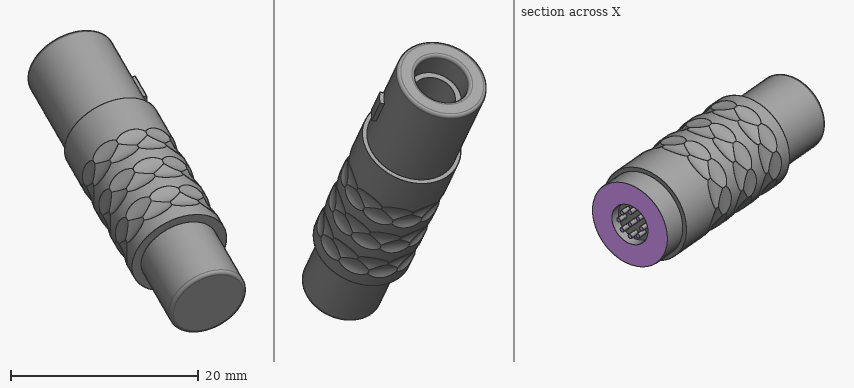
import cadquery as cq
import math

total_length = 38.0
nose_radius = 10.0 / 2
nose_length = 11.48
grip_radius = 11.0 / 2
grip_end = 30.02
tail_radius = 8.85 / 2
edge_fillet = 0.38

socket_radius = 6.0 / 2
socket_depth = 3.0
inner_bore_radius = 4.7 / 2
inner_bore_depth = 9.88

pin_radius = 0.25
pin_straight_length = 2.28
pin_circle_radius = 3.0 / 2
outer_pin_count = 8

key_start = 5.0
key_length = 3.15
key_width = 1.5

band_count = 3
band_pitch = 4.52
first_ring_x = 17.35
ring_spacing = 1.0
scallops_per_ring = 10
scallop_step = 360 / scallops_per_ring
scallop_depth = 0.35
scallop_cutter_radius = 2.25
scallop_cutter_length = grip_radius


def rod(start_x, end_x, radius):
    """Solid cylinder on the X axis."""
    return cq.Workplane("YZ").workplane(offset=start_x).circle(radius).extrude(end_x - start_x)


def turn(shape, angle):
    """Rotate a shape about the X axis."""
    return shape.rotate((0, 0, 0), (1, 0, 0), angle)


def make_barrel():
    """Nose, grip and tail, with the two end rims rounded."""
    nose = rod(0, nose_length, nose_radius).faces("<X").edges().fillet(edge_fillet)
    grip = rod(nose_length, grip_end, grip_radius)
    tail = rod(grip_end, total_length, tail_radius).faces(">X").edges().fillet(edge_fillet)
    return nose.union(grip).union(tail)


def make_key():
    """Key bar whose top follows the grip's cylinder."""
    bar = (
        cq.Workplane("XY")
        .box(key_length, grip_radius - socket_radius, key_width, centered=(False, False, True))
        .translate((key_start, socket_radius, 0))
    )
    return bar.intersect(rod(key_start, key_start + key_length, grip_radius))


def make_socket():
    """Cutter for the stepped bore, with a rounded mouth."""
    mouth_radius = socket_radius + edge_fillet
    arc_middle = edge_fillet * (1 - math.cos(math.radians(45)))
    return (
        cq.Workplane("XY")
        .lineTo(0, mouth_radius)
        .threePointArc((arc_middle, socket_radius + arc_middle), (edge_fillet, socket_radius))
        .lineTo(socket_depth, socket_radius)
        .lineTo(socket_depth, inner_bore_radius)
        .lineTo(inner_bore_depth, inner_bore_radius)
        .lineTo(inner_bore_depth, 0)
        .close()
        .revolve(360, (0, 0, 0), (1, 0, 0))
    )


def make_pins():
    """All the contact pins, each with a domed tip."""
    dome_x = inner_bore_depth - pin_straight_length
    dome = cq.Workplane("XY").sphere(pin_radius).translate((dome_x, 0, 0))
    pin = rod(dome_x, inner_bore_depth, pin_radius).union(dome)
    pins = pin
    for index in range(outer_pin_count):
        outer_pin = pin.translate((0, pin_circle_radius, 0))
        pins = pins.union(turn(outer_pin, index * 360 / outer_pin_count))
    return pins


def make_scallop_ring(ring_x, start_angle):
    """Cylindrical cutters lying crosswise around the grip, one for each scallop."""
    cutter_axis_radius = grip_radius - scallop_depth + scallop_cutter_radius
    cutter = (
        cq.Workplane("XY")
        .workplane(offset=-scallop_cutter_length / 2)
        .center(ring_x, cutter_axis_radius)
        .circle(scallop_cutter_radius)
        .extrude(scallop_cutter_length)
    )
    return [turn(cutter, start_angle + index * scallop_step).val() for index in range(scallops_per_ring)]


def make_scallops():
    """Cutters for every ring of every band."""
    cutters = []
    for band in range(band_count):
        ring_x = first_ring_x + band * band_pitch
        cutters += make_scallop_ring(ring_x, scallop_step / 2)
        cutters += make_scallop_ring(ring_x + ring_spacing, 0)
    return cutters


body = make_barrel().union(make_key()).cut(make_socket()).union(make_pins())
scalloped_body = body.val().cut(*make_scallops())
result = cq.Workplane("XY").newObject(scalloped_body.Solids())